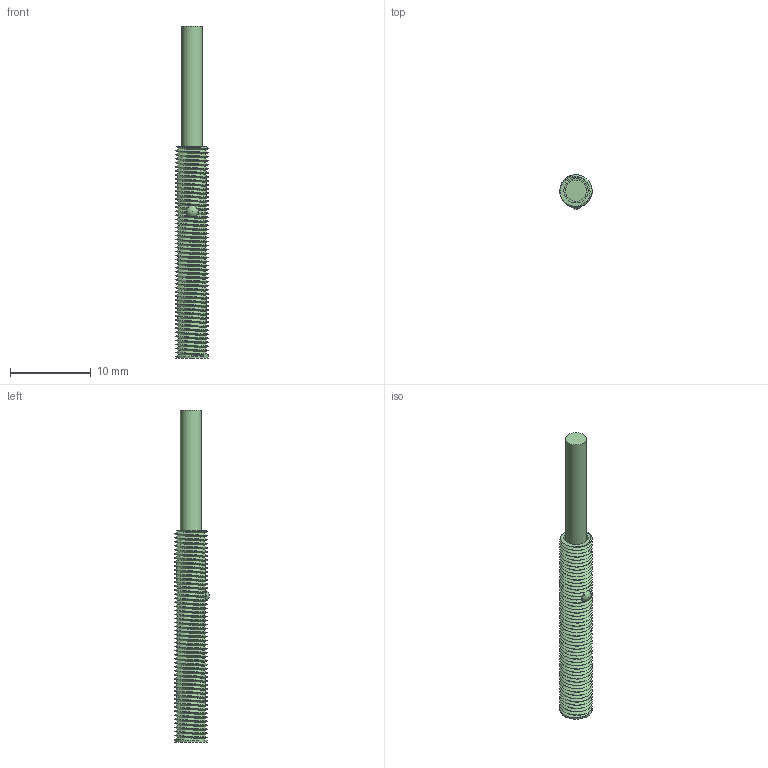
import cadquery as cq
import math

barrel_diameter = 4.0
base_rim_thickness = 0.2
barrel_length = 26.16

thread_pitch = 0.5
thread_depth = 0.307
crest_width = 0.03
overrun_share = 0.8
thread_start_angle = -45.0
thread_start_height = 0.26

rod_diameter = 2.6
rod_exposed_length = 15.0

mouth_diameter = 3.0
mouth_depth = 0.5

pin_diameter = 1.5
pin_drop = 8.0
pin_reach = 2.26
pin_dome_height = 0.5
pin_root = 1.0

barrel_radius = barrel_diameter / 2
z_axis = (cq.Vector(0, 0, 0), cq.Vector(0, 0, 1))


def groove_profile():
    """V section of the thread groove as (radius, height) points, widened past the barrel surface."""
    surface_half_width = (thread_pitch - crest_width) / 2
    flank_meeting_height = crest_width / 2 * thread_depth / surface_half_width
    overrun = overrun_share * flank_meeting_height
    outer_radius = barrel_radius + overrun
    outer_half_width = surface_half_width * (thread_depth + overrun) / thread_depth
    return [
        (outer_radius, -outer_half_width),
        (barrel_radius - thread_depth, 0),
        (outer_radius, outer_half_width),
    ]


def thread_groove():
    """Solid swept by the groove section along a left-handed helix, running out above the barrel."""
    length = barrel_length + thread_pitch
    profile = groove_profile()
    helices = []
    for radius, height in profile:
        helix = cq.Wire.makeHelix(thread_pitch, length, radius, lefthand=True)
        helices.append(helix.translate(cq.Vector(0, 0, height)))
    faces = []
    for i, helix in enumerate(helices):
        faces += cq.Face.makeRuledSurface(helices[i - 1], helix).Faces()
    start_section = cq.Wire.makePolygon([cq.Vector(r, 0, z) for r, z in profile], close=True)
    end_turn = -360 * length / thread_pitch
    end_section = start_section.rotate(*z_axis, end_turn).translate(cq.Vector(0, 0, length))
    for section in (start_section, end_section):
        faces.append(cq.Face.makeFromWires(section))
    groove = cq.Solid.makeSolid(cq.Shell.makeShell(faces))
    return groove.rotate(*z_axis, thread_start_angle).translate(cq.Vector(0, 0, thread_start_height))


def cylinder(diameter, bottom, top):
    """Upright cylinder on the Z axis between two heights."""
    return cq.Workplane("XY").workplane(offset=bottom).circle(diameter / 2).extrude(top - bottom)


def threaded_barrel():
    """Barrel with the thread cut into it and a plain rim closing its base."""
    threaded = cylinder(barrel_diameter, 0, barrel_length)
    threaded = threaded.cut(cq.Workplane(thread_groove()))
    return threaded.union(cylinder(barrel_diameter, 0, base_rim_thickness))


def domed_pin():
    """Radial pin pointing to -Y, revolved about its own axis, with a spherical dome on its tip."""
    radius = pin_diameter / 2
    shoulder = pin_reach - pin_dome_height
    dome_radius = (radius**2 + pin_dome_height**2) / (2 * pin_dome_height)
    dome_center = pin_reach - dome_radius
    half_angle = math.asin(radius / dome_radius) / 2
    dome_middle = (dome_radius * math.sin(half_angle), -dome_center - dome_radius * math.cos(half_angle))
    pin = (
        cq.Workplane("XY")
        .moveTo(0, -pin_root)
        .lineTo(radius, -pin_root)
        .lineTo(radius, -shoulder)
        .threePointArc(dome_middle, (0, -pin_reach))
        .close()
        .revolve(360, (0, 0, 0), (0, 1, 0))
    )
    return pin.translate((0, 0, barrel_length - pin_drop))


mouth_floor = barrel_length - mouth_depth
result = threaded_barrel()
result = result.cut(cylinder(mouth_diameter, mouth_floor, barrel_length))
result = result.union(cylinder(rod_diameter, mouth_floor, barrel_length + rod_exposed_length))
result = result.union(domed_pin())